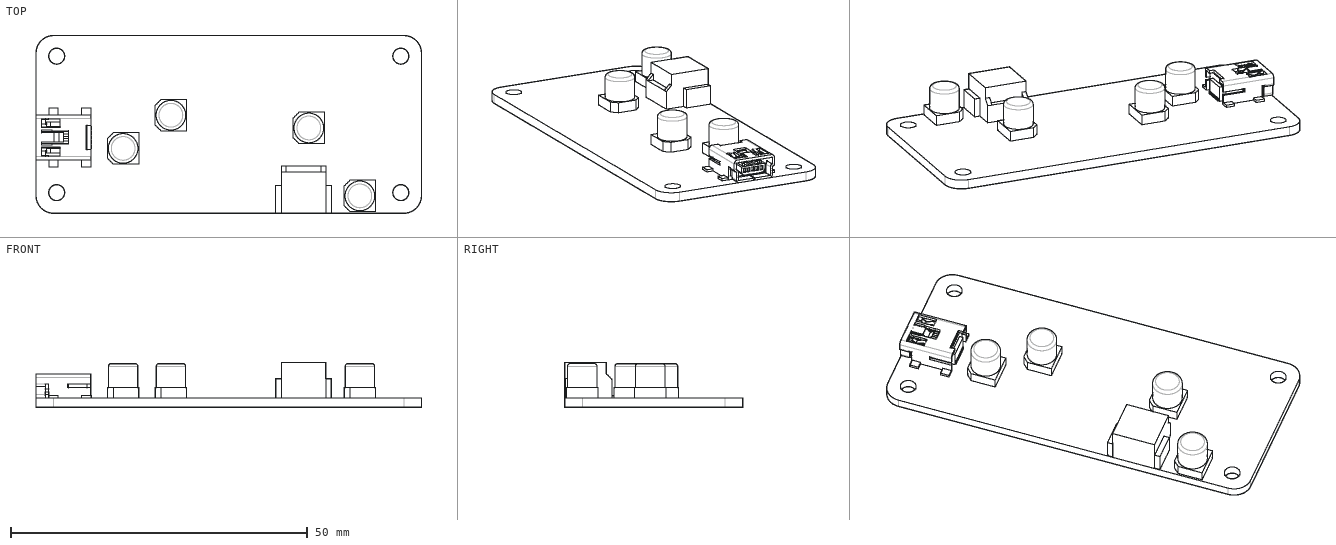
import cadquery as cq


board_length = 65.0
board_width = 30.0
board_thickness = 1.6
board_corner_radius = 3.0
mount_hole_diameter = 2.65
mount_hole_spacing_x = 58.0
mount_hole_spacing_y = 23.0

can_diameter = 5.0
can_edge_radius = 0.5
capacitor_height = 5.8
capacitor_base_size = 5.3
capacitor_base_height = 1.75
capacitor_base_chamfer = 1.0
capacitor_centres = [(-17.8, -4.05), (-9.75, 1.55), (13.5, -0.6), (22.1, -12.05)]

jack_height = 6.0
jack_width = 7.5
jack_length = 8.0
jack_centre_x = 12.6
jack_flange_width = 9.4
jack_flange_length = 4.7
jack_flange_height = 3.25
jack_flange_setback = 0.1
jack_step = 1.0
jack_step_floor = 3.1
jack_notch_width = 5.9

socket_centre_y = -2.2
shell_length = 9.25
shell_width = 7.65
shell_height = 4.05
sheet = 0.4
roof_thickness = 0.5
shell_edge_radius = 0.6
jog_radius = sheet
jog_top = 2.35
jog_middle = jog_top - jog_radius
mouth_depth = 1.6
mouth_bottom_radius = 0.55
floor_height = 0.6
side_gap_end = 2.15
seam_width = 0.15
tab_span = 10.0
tab_length = 1.55
tab_front_x = 2.2
side_slot_start = 5.3
side_slot_bottom = 1.75
side_slot_top = 2.33
roof_notch_start = 8.4
roof_notch_width = 4.1

window_start = 0.95
finger_sheet = 0.2
side_window_end = 4.1
side_window_inner = 1.65
side_window_outer = 3.15
side_finger_inner = 1.85
side_finger_outer = 2.6
side_finger_tip = 1.8
side_finger_low = 2.5
side_finger_dip = 0.3
middle_window_end = 5.5
middle_window_width = 2.2
middle_window_front_end = 2.7
middle_window_front_width = 2.5
middle_finger_width = 1.6
middle_finger_bend = 3.05
middle_finger_low = 3.9
middle_finger_tip = 4.65
middle_finger_dip = 0.5

tongue_start = 0.45
tongue_width = 4.5
tongue_bottom = 1.0
tongue_top = 2.55
tongue_chamfer = 0.5
insulator_wall_start = 5.5
insulator_wall_end = 8.6
rear_ledge_height = 2.6
contact_count = 5
contact_pitch = 0.8
contact_width = 0.4
contact_top = 2.95
contact_pocket_width = 0.5
contact_pocket_bottom = 1.5
contact_pocket_top = 2.2
contact_pocket_depth = 0.4
tail_width = 0.55
tail_end = 9.4

inner_width = shell_width - 2 * sheet
mouth_inner_width = inner_width - 2 * sheet
ceiling = shell_height - roof_thickness


def block(x_range, y_range, z_range):
    """Box between the given limits on each axis."""
    (x0, x1), (y0, y1), (z0, z1) = x_range, y_range, z_range
    return cq.Workplane("XY").box(x1 - x0, y1 - y0, z1 - z0, centered=False).translate((x0, y0, z0))


def middle_block(x_range, width, z_range):
    """Box centred on y = 0."""
    return block(x_range, (-width / 2, width / 2), z_range)


def side_rod(length, y, z, radius):
    """Round rod along X, starting at x = 0."""
    return cq.Workplane("YZ").center(y, z).circle(radius).extrude(length)


def make_board():
    plate = cq.Workplane("XY").box(board_length, board_width, board_thickness, centered=(True, True, False))
    plate = plate.edges("|Z").fillet(board_corner_radius)
    return (
        plate.faces(">Z").workplane()
        .rect(mount_hole_spacing_x, mount_hole_spacing_y, forConstruction=True)
        .vertices().hole(mount_hole_diameter)
    )


def make_capacitor(x, y):
    base = cq.Workplane("XY").box(
        capacitor_base_size, capacitor_base_size, capacitor_base_height, centered=(True, True, False)
    )
    base = base.edges("|Z and <X").chamfer(capacitor_base_chamfer)
    can = cq.Workplane("XY").circle(can_diameter / 2).extrude(capacitor_height)
    can = can.faces(">Z").edges().fillet(can_edge_radius)
    return base.union(can).translate((x, y, board_thickness))


def make_jack():
    """Housing with a stepped rear: bevelled at both sides, cut square between them."""
    body = middle_block((0, jack_length), jack_width, (0, jack_height))
    step_start = jack_length - jack_step
    bevel_cut = (
        cq.Workplane("XZ")
        .polyline([
            (step_start, jack_height),
            (step_start, jack_step_floor + jack_step),
            (jack_length, jack_step_floor),
            (jack_length, jack_height),
        ])
        .close().extrude(jack_width / 2, both=True)
    )
    notch = middle_block((step_start, jack_length), jack_notch_width, (jack_step_floor, jack_height))
    flange_range = (jack_flange_setback, jack_flange_length)
    flange = middle_block(flange_range, jack_flange_width, (0, jack_flange_height))
    jack = body.cut(bevel_cut).cut(notch).union(flange)
    return jack.rotate((0, 0, 0), (0, 0, 1), 90).translate((jack_centre_x, -board_width / 2, board_thickness))


def mouth_side_cuts():
    """Space outside the mouth, where the lower walls step inward below the jog."""
    cuts = cq.Workplane("XY")
    for side in (-1, 1):
        edges = sorted((side * inner_width / 2, side * shell_width / 2))
        beside = block((0, side_gap_end), edges, (0, jog_top))
        bend = side_rod(mouth_depth, side * inner_width / 2, jog_top, jog_radius)
        cuts = cuts.add(beside.cut(bend))
    return cuts.combine()


def mouth_lower_walls():
    """Stepped-in lower walls and floor of the mouth, joined to the upper walls by a rounded jog."""
    walls = middle_block((0, mouth_depth), inner_width, (0, jog_middle))
    walls = walls.edges("|X and <Z").fillet(mouth_bottom_radius)
    for side in (-1, 1):
        walls = walls.union(side_rod(mouth_depth, side * inner_width / 2, jog_middle, jog_radius))
    walls = walls.intersect(middle_block((0, mouth_depth), inner_width, (0, jog_top)))
    return walls.cut(middle_block((0, mouth_depth), mouth_inner_width, (sheet, jog_top)))


def bent_finger(points, y_range):
    """Strip of sheet whose top follows the given (x, z) points."""
    underside = [(x, z - finger_sheet) for x, z in reversed(points)]
    width = y_range[1] - y_range[0]
    strip = cq.Workplane("XZ").polyline(points + underside).close().extrude(-width)
    return strip.translate((0, y_range[0], 0))


def roof_fingers(shell):
    """Open the three windows in the roof and put a sprung finger in each."""
    roof = (ceiling, shell_height)
    side_profile = [
        (side_finger_tip, shell_height),
        (side_finger_low, shell_height - finger_sheet - side_finger_dip),
        (side_window_end, shell_height),
        (side_window_end + finger_sheet, shell_height),
    ]
    for side in (-1, 1):
        window = sorted((side * side_window_inner, side * side_window_outer))
        finger = sorted((side * side_finger_inner, side * side_finger_outer))
        shell = shell.cut(block((window_start, side_window_end), window, roof))
        shell = shell.union(bent_finger(side_profile, finger))

    middle_profile = [
        (window_start - finger_sheet, shell_height),
        (middle_finger_bend, shell_height),
        (middle_finger_low, shell_height - finger_sheet - middle_finger_dip),
        (middle_finger_tip, shell_height),
    ]
    half_finger = middle_finger_width / 2
    shell = shell.cut(middle_block((window_start, middle_window_end), middle_window_width, roof))
    shell = shell.cut(middle_block((window_start, middle_window_front_end), middle_window_front_width, roof))
    return shell.union(bent_finger(middle_profile, (-half_finger, half_finger)))


def make_shell():
    shell = middle_block((0, shell_length), shell_width, (0, shell_height))
    shell = shell.edges("|X and >Z").fillet(shell_edge_radius)
    shell = shell.cut(middle_block((0, shell_length), inner_width, (0, ceiling)))
    shell = shell.cut(mouth_side_cuts()).union(mouth_lower_walls())
    shell = shell.union(middle_block((side_gap_end, insulator_wall_start), inner_width, (0, floor_height)))
    shell = shell.union(middle_block((mouth_depth, side_gap_end), mouth_inner_width, (0, floor_height)))
    shell = shell.cut(middle_block((0, insulator_wall_start), seam_width, (0, floor_height)))

    shell = shell.cut(
        middle_block((side_slot_start, shell_length), shell_width, (side_slot_bottom, side_slot_top))
    )
    shell = shell.cut(
        middle_block((roof_notch_start, shell_length), roof_notch_width, (ceiling, shell_height))
    )
    shell = roof_fingers(shell)

    for tab_x in (tab_front_x, shell_length - tab_length):
        for side in (-1, 1):
            tab = sorted((side * inner_width / 2, side * tab_span / 2))
            shell = shell.union(block((tab_x, tab_x + tab_length), tab, (0, sheet)))
    return shell


def make_insulator():
    """Rear wall that fills the shell, with the contact tongue in front and the tails behind."""
    wall = middle_block((insulator_wall_start, insulator_wall_end), inner_width, (0, ceiling))
    ledge = middle_block((insulator_wall_end, shell_length), roof_notch_width, (0, rear_ledge_height))
    tongue = middle_block((tongue_start, insulator_wall_start), tongue_width, (tongue_bottom, tongue_top))
    tongue = tongue.edges("|X and <Z").chamfer(tongue_chamfer)
    insulator = wall.union(ledge).union(tongue)

    half_row = (contact_count - 1) / 2
    pocket_end = tongue_start + contact_pocket_depth
    for index in range(contact_count):
        shift = (0, (index - half_row) * contact_pitch, 0)
        contact = middle_block((pocket_end, insulator_wall_start), contact_width, (tongue_top, contact_top))
        tail = middle_block((shell_length, tail_end), tail_width, (0, sheet))
        pocket = middle_block(
            (tongue_start, pocket_end), contact_pocket_width, (contact_pocket_bottom, contact_pocket_top)
        )
        insulator = insulator.union(contact.translate(shift)).union(tail.translate(shift))
        insulator = insulator.cut(pocket.translate(shift))
    return insulator


socket_position = (-board_length / 2, socket_centre_y, board_thickness)

board = make_board()
capacitors = [make_capacitor(x, y) for x, y in capacitor_centres]
jack = make_jack()
shell = make_shell().translate(socket_position)
insulator = make_insulator().translate(socket_position)

result = cq.Compound.makeCompound([
    board.val(),
    *[capacitor.val() for capacitor in capacitors],
    jack.val(),
    shell.val(),
    insulator.val(),
])